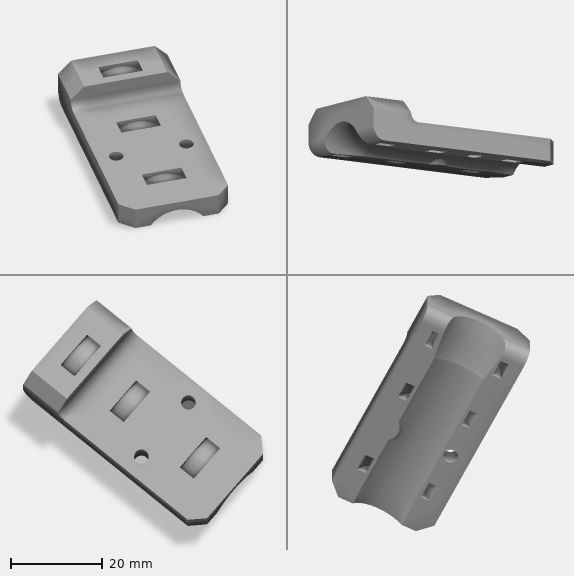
import cadquery as cq
import math

LENGTH = 50.0
WIDTH = 25.0
PLATE_HEIGHT = 5.0
BLOCK_HEIGHT = 10.0
BLOCK_LENGTH = 10.0
CHAMFER = 3.0
NOSE_RADIUS = 3.0
STEP_RADIUS = 2.0

GROOVE_RADIUS = 7.5
GROOVE_CROWN = 2.95
ENTRY_CROWN = 5.7
LEAD_IN_ANGLE = 15.0

WINDOW_LENGTH = 4.0
WINDOW_WIDTH = 9.0
CHANNEL_INNER_RADIUS = 7.5
WINDOW_CROWN_DEPTH = 0.8
WINDOWS = [(6.0, BLOCK_HEIGHT), (20.0, PLATE_HEIGHT), (40.0, PLATE_HEIGHT)]

HOLE_DIAMETER = 3.2
HOLE_X = 30.0
HOLE_OFFSET = 8.0
BOSS_DIAMETER = 2 * HOLE_DIAMETER
BLIND_DEPTH = 4.0


def make_body():
    """Plate with a raised, chamfered block at its -X end."""
    body = (
        cq.Workplane("XZ", origin=(0, WIDTH / 2, 0))
        .lineTo(LENGTH, 0)
        .lineTo(LENGTH, PLATE_HEIGHT)
        .lineTo(BLOCK_LENGTH + STEP_RADIUS, PLATE_HEIGHT)
        .radiusArc((BLOCK_LENGTH, PLATE_HEIGHT + STEP_RADIUS), STEP_RADIUS)
        .lineTo(BLOCK_LENGTH, BLOCK_HEIGHT)
        .lineTo(0, BLOCK_HEIGHT)
        .close()
        .extrude(WIDTH)
    )
    body = body.edges("<X and <Z").fillet(NOSE_RADIUS)
    body = body.edges("|X and >Z").chamfer(CHAMFER)
    return body.edges("|Z and >X").chamfer(CHAMFER)


def make_groove():
    """Straight cylinder joined to a tilted one that rises toward -X."""
    axis_z = GROOVE_CROWN - GROOVE_RADIUS
    slope = math.radians(LEAD_IN_ANGLE)
    tilted_radius_height = GROOVE_RADIUS / math.cos(slope)
    entry_axis_z = ENTRY_CROWN - tilted_radius_height
    direction = cq.Vector(math.cos(slope), 0, -math.sin(slope))
    start = cq.Vector(0, 0, entry_axis_z) - direction * GROOVE_RADIUS
    lead_in = cq.Solid.makeCylinder(GROOVE_RADIUS, LENGTH, start, direction)
    straight = cq.Workplane("YZ", origin=(0, 0, axis_z)).circle(GROOVE_RADIUS).extrude(LENGTH)
    return straight.union(cq.Workplane(lead_in))


def make_strap_channel(x, top):
    """Curved channel for a strap, opening as a rectangular window in the top face."""
    axis_z = top - WINDOW_CROWN_DEPTH - CHANNEL_INNER_RADIUS
    outer_radius = math.hypot(WINDOW_WIDTH / 2, top - axis_z)
    return (
        cq.Workplane("YZ", origin=(x - WINDOW_LENGTH / 2, 0, axis_z))
        .circle(outer_radius)
        .circle(CHANNEL_INNER_RADIUS)
        .extrude(WINDOW_LENGTH)
    )


def make_hole(y, depth):
    """Vertical hole cutter reaching down from the plate top."""
    return (
        cq.Workplane("XY", origin=(HOLE_X, y, PLATE_HEIGHT))
        .circle(HOLE_DIAMETER / 2)
        .extrude(-depth)
    )


result = make_body().cut(make_groove())
boss = (
    cq.Workplane("XY", origin=(HOLE_X, HOLE_OFFSET, 0))
    .circle(BOSS_DIAMETER / 2)
    .extrude(PLATE_HEIGHT)
)
result = result.union(boss)

for window_x, window_top in WINDOWS:
    result = result.cut(make_strap_channel(window_x, window_top))

result = result.cut(make_hole(-HOLE_OFFSET, PLATE_HEIGHT))
result = result.cut(make_hole(HOLE_OFFSET, BLIND_DEPTH))